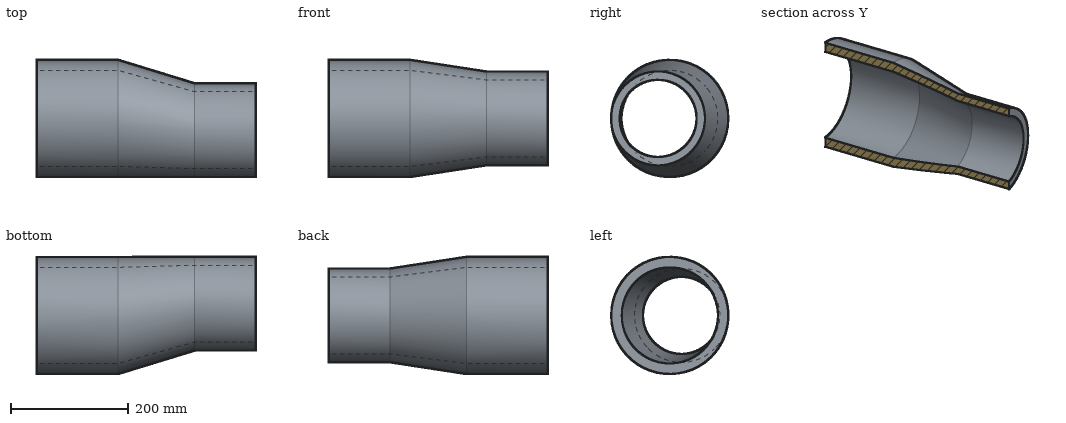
import cadquery as cq

total_length = 373.0
large_length = 138.8
small_length = 104.0
large_outer_diameter = 200.0
large_bore_diameter = 163.7
small_outer_diameter = 160.0
small_bore_diameter = 131.0

taper_length = total_length - large_length - small_length
small_start = large_length + taper_length
small_axis_y = -(large_outer_diameter - small_outer_diameter) / 2


def reducer_body(large_diameter, small_diameter):
    """Two offset cylinders joined by a lofted transition."""
    large_end = cq.Workplane("YZ").circle(large_diameter / 2).extrude(large_length)
    transition = (
        cq.Workplane("YZ", origin=(large_length, 0, 0))
        .circle(large_diameter / 2)
        .workplane(offset=taper_length)
        .center(small_axis_y, 0)
        .circle(small_diameter / 2)
        .loft(ruled=True)
    )
    small_end = (
        cq.Workplane("YZ", origin=(small_start, small_axis_y, 0))
        .circle(small_diameter / 2)
        .extrude(small_length)
    )
    return large_end.union(transition).union(small_end)


outer_body = reducer_body(large_outer_diameter, small_outer_diameter)
bore = reducer_body(large_bore_diameter, small_bore_diameter)
result = outer_body.cut(bore)